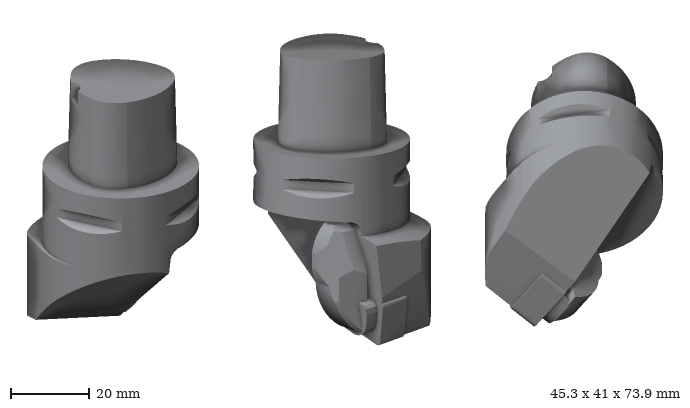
import cadquery as cq
import math


shank_height = 24.0
lobe_offset = 5.5
lobe_radius = 9.2
flank_radius = lobe_radius + lobe_offset * math.sqrt(3)
shank_taper = 1 / 40
key_radius = 3.8
key_centre_y = -14.8
key_depth = 4.3

flange_radius = 20.0
flange_height = 20.96
groove_z = -8.0
groove_floor_distance = 17.7
groove_floor_half_width = 1.23
groove_flank_angle = 30.0
groove_count = 4

head_left = -25.25
head_front = -21.02
left_side_end_y = -10.4
front_corner = (-15.0, -20.3)
front_flat_start_x = -10.6
front_flat_end_x = -4.6
facet_start = (1.7, -20.6)
facet_end = (4.6, -20.0)
flange_join_x = 14.0
head_shoulder_angle = 14.0
head_reach = 40.0
head_bottom = -52.0

insert_side = 12.7
insert_thickness = 7.94
insert_corner_radius = 1.2
insert_lead_angle = 15.0
tip_x, tip_y, tip_z = -21.95, 0.0, -50.18
rake_x_slope = 0.085
rake_z_slope = 0.125
seat_setback = 0.6

undercut_z = -16.0
undercut_slope = 0.085
flute_corner_radius = 3.0

relief_start = (flange_radius, 0.0, -21.4)
relief_angle = 41.9
relief_side_slope = 0.07

clamp_right = -10.0
clamp_back = 12.8
clamp_inner_edge = (8.9, -18.5)
clamp_back_start = (10.4, -20.2)
clamp_back_middle = (clamp_back, -26.0)
clamp_back_end = (11.7, -33.8)
clamp_lower_middle = (9.8, -40.7)
clamp_nose = (4.4, -46.4)
clamp_root_y = 3.5
clamp_root_top_z = -18.3
clamp_root_bottom_z = -44.0
clamp_undercut_left = -20.0
clamp_left_front = (-20.8, 3.1)
clamp_left_back = (-19.0, 10.5)
clamp_back_flat_x = -12.0
clamp_shoulder_corner = (-16.5, 8.0, -19.9)
clamp_lower_edge_middle = (-19.2, 9.6, -40.9)
clamp_lower_chamfer = 0.8
clamp_shoulder_normal = (-0.94, 0.10, 0.33)
clamp_edge_normal = (-0.90, 0.35, 0.28)
clamp_top_normal = (-0.50, 0.08, 0.85)

breaker_inset = 1.9
breaker_right = 11.0
breaker_top = 11.75
breaker_thickness = 3.6
breaker_nose_radius = 4.6
breaker_corner_steps = ((0.0, 2.15), (0.5, 0.65), (1.3, 0.0))


def polar(radius, degrees):
    angle = math.radians(degrees)
    return radius * math.cos(angle), radius * math.sin(angle)


def lobed_outline(height, inset):
    """Three lobe arcs joined tangentially by three flatter flank arcs."""
    def lobe_point(lobe_angle, normal_angle):
        centre_x, centre_y = polar(lobe_offset, lobe_angle)
        normal_x, normal_y = polar(lobe_radius - inset, normal_angle)
        return centre_x + normal_x, centre_y + normal_y

    outline = cq.Workplane("XY", origin=(0, 0, height)).moveTo(*lobe_point(90, 60))
    for lobe_angle in (90, 210, 330):
        lobe_end = lobe_point(lobe_angle, lobe_angle + 30)
        flank_middle = polar(flank_radius - lobe_offset - inset, lobe_angle + 60)
        flank_end = lobe_point(lobe_angle + 120, lobe_angle + 90)
        outline = outline.threePointArc(lobe_point(lobe_angle, lobe_angle), lobe_end)
        outline = outline.threePointArc(flank_middle, flank_end)
    return outline.wire().val()


def make_shank():
    base = lobed_outline(0, 0)
    end = lobed_outline(shank_height, shank_height * shank_taper)
    shank = cq.Workplane(cq.Solid.makeLoft([base, end], True))
    key = (
        cq.Workplane("XY", origin=(0, key_centre_y, shank_height - key_depth))
        .circle(key_radius)
        .extrude(key_depth)
    )
    return shank.cut(key)


def make_flange():
    flange = cq.Workplane("XY").circle(flange_radius).extrude(-flange_height)
    rim = flange_radius + 1
    rim_half_width = groove_floor_half_width + (rim - groove_floor_distance) * math.tan(
        math.radians(groove_flank_angle)
    )
    groove = (
        cq.Workplane("XZ")
        .moveTo(groove_floor_distance, groove_z - groove_floor_half_width)
        .lineTo(rim, groove_z - rim_half_width)
        .lineTo(rim, groove_z + rim_half_width)
        .lineTo(groove_floor_distance, groove_z + groove_floor_half_width)
        .close()
        .extrude(flange_radius, both=True)
    )
    for index in range(groove_count):
        angle = (index + 0.5) * 360 / groove_count
        flange = flange.cut(groove.rotate((0, 0, 0), (0, 0, 1), angle))
    return flange


def rake_plane():
    """Insert plane: local x and y follow two insert edges, local z goes into the seat."""
    lead = math.radians(insert_lead_angle)
    edge_x = math.cos(lead)
    edge_z = math.sin(lead)
    edge_y = rake_x_slope * edge_x + rake_z_slope * edge_z
    return cq.Plane(
        origin=(tip_x, tip_y, tip_z),
        xDir=(edge_x, edge_y, edge_z),
        normal=(rake_x_slope, -1, rake_z_slope),
    )


def make_insert():
    return (
        cq.Workplane(rake_plane())
        .rect(insert_side, insert_side, centered=False)
        .extrude(insert_thickness)
        .edges(cq.selectors.ParallelDirSelector(rake_plane().zDir))
        .fillet(insert_corner_radius)
    )


def make_head():
    circle_join = (flange_join_x, -math.sqrt(flange_radius**2 - flange_join_x**2))
    blank = (
        cq.Workplane("XY", origin=(0, 0, head_bottom))
        .moveTo(head_left, left_side_end_y)
        .threePointArc((-20.2, -16.5), front_corner)
        .threePointArc((-12.85, -20.84), (front_flat_start_x, head_front))
        .lineTo(front_flat_end_x, head_front)
        .threePointArc((-1.42, -20.91), facet_start)
        .lineTo(*facet_end)
        .threePointArc((9.6, -17.75), circle_join)
        .threePointArc((flange_radius, 0), (0, flange_radius))
        .lineTo(head_left, flange_radius)
        .close()
        .extrude(-flange_height - head_bottom)
    )
    shoulder_drop = (head_reach - flange_radius) * math.tan(math.radians(head_shoulder_angle))
    envelope = (
        cq.Workplane("XZ")
        .moveTo(0, -flange_height)
        .lineTo(flange_radius, -flange_height)
        .lineTo(head_reach, -flange_height - shoulder_drop)
        .lineTo(head_reach, head_bottom)
        .lineTo(0, head_bottom)
        .close()
        .revolve(360, (0, 0, 0), (0, 1, 0))
    )
    return blank.intersect(envelope)


def cut_seat_walls(head):
    """Trim the head parallel to the two exposed insert sides."""
    reach = 2 * head_reach
    for x_low, y_low in ((seat_setback - reach, -reach / 2), (-reach / 2, seat_setback - reach)):
        waste = (
            cq.Workplane(rake_plane())
            .workplane(offset=-head_reach / 2)
            .moveTo(x_low, y_low)
            .rect(reach, reach, centered=False)
            .extrude(reach)
        )
        head = head.cut(waste)
    return head


def cut_beyond(body, point, normal):
    """Remove everything on the outer side of the plane through the point."""
    plane = cq.Plane(origin=point, xDir=None, normal=normal)
    waste = cq.Workplane(plane).rect(3 * head_reach, 3 * head_reach).extrude(head_reach)
    return body.cut(waste)


def cut_relief(head):
    angle = math.radians(relief_angle)
    along = cq.Vector(math.cos(angle), 0, math.sin(angle))
    across = cq.Vector(0, -1, relief_side_slope)
    return cut_beyond(head, relief_start, along.cross(across))


def make_flute():
    """Space swept along the rake plane below the undercut of the flange."""
    sweep_plane = cq.Plane(origin=(0, 0, 0), xDir=(-rake_x_slope, 1, 0), normal=(1, rake_x_slope, 0))
    low_z = head_bottom
    far_y = head_reach

    def rake_y(z):
        return tip_y - rake_x_slope * tip_x + rake_z_slope * (z - tip_z)

    def undercut_height(y):
        return undercut_z - undercut_slope * (flange_radius - y)

    corner_y = rake_y(undercut_height(rake_y(undercut_z)))
    corner_z = undercut_height(corner_y)
    flute = (
        cq.Workplane(sweep_plane)
        .moveTo(rake_y(low_z), low_z)
        .lineTo(corner_y, corner_z)
        .lineTo(far_y, undercut_height(far_y))
        .lineTo(far_y, low_z)
        .close()
        .extrude(head_reach, both=True)
    )
    corner = cq.selectors.NearestToPointSelector((0, corner_y, corner_z))
    return flute.edges(corner).fillet(flute_corner_radius)


def make_clamp():
    side_profile = (
        cq.Workplane("YZ", origin=(head_left, 0, 0))
        .moveTo(clamp_root_y, clamp_root_top_z)
        .lineTo(*clamp_inner_edge)
        .lineTo(*clamp_back_start)
        .threePointArc(clamp_back_middle, clamp_back_end)
        .threePointArc(clamp_lower_middle, clamp_nose)
        .lineTo(clamp_root_y, clamp_root_bottom_z)
        .lineTo(0, clamp_root_bottom_z)
        .close()
        .extrude(clamp_right - head_left)
    )
    plan = (
        cq.Workplane("XY", origin=(0, 0, head_bottom))
        .moveTo(clamp_undercut_left, 0)
        .lineTo(clamp_undercut_left, clamp_left_front[1])
        .lineTo(*clamp_left_front)
        .lineTo(*clamp_left_back)
        .threePointArc((-16.3, 11.7), (clamp_back_flat_x, clamp_back))
        .lineTo(clamp_right, clamp_back)
        .lineTo(clamp_right, 0)
        .close()
        .extrude(-head_bottom)
    )
    clamp = side_profile.intersect(plan)
    for normal in (clamp_shoulder_normal, clamp_edge_normal, clamp_top_normal):
        clamp = cut_beyond(clamp, clamp_shoulder_corner, normal)
    lower_back_edge = cq.selectors.NearestToPointSelector(clamp_lower_edge_middle)
    return clamp.edges(lower_back_edge).chamfer(clamp_lower_chamfer)


def make_breaker():
    nose_end = breaker_inset + breaker_nose_radius
    outline = (
        cq.Workplane(rake_plane())
        .moveTo(breaker_right, breaker_inset)
        .lineTo(nose_end, breaker_inset)
        .radiusArc((breaker_inset, nose_end), breaker_nose_radius)
    )
    for side_step, top_step in breaker_corner_steps:
        outline = outline.lineTo(breaker_inset + side_step, breaker_top - top_step)
    return outline.lineTo(breaker_right, breaker_top).close().extrude(-breaker_thickness)


insert = make_insert()

head = cut_relief(cut_seat_walls(make_head()))
holder = make_flange().union(head, clean=False).cut(make_flute(), clean=False)
for detail in (make_shank(), make_clamp(), make_breaker()):
    holder = holder.union(detail, clean=False)
holder = holder.cut(insert, clean=False)

holder = holder.solids()

result = cq.Compound.makeCompound([holder.val(), insert.val()])